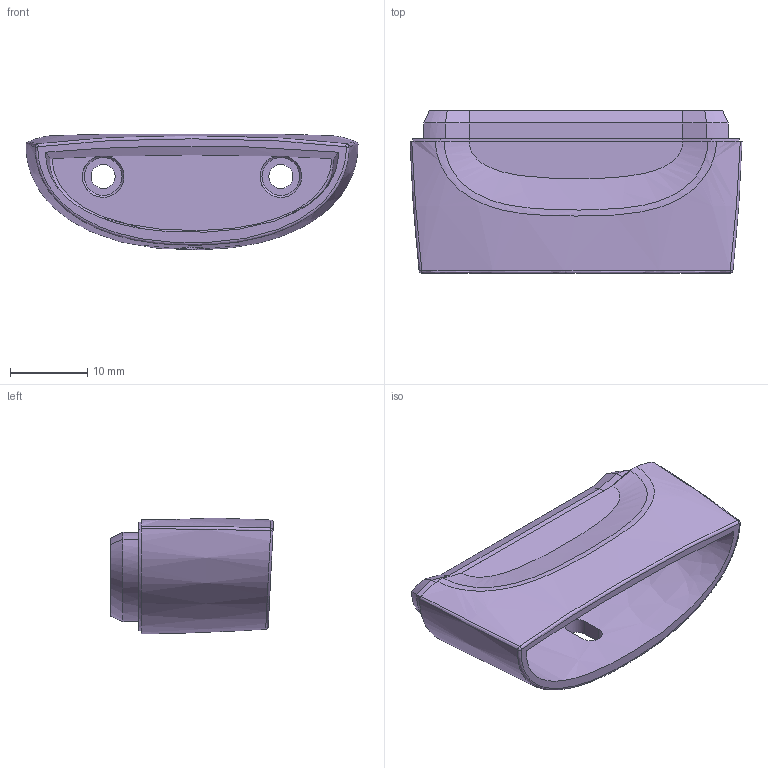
import cadquery as cq
import math


half_width = 21.47
body_length = 17.41
body_height = 15.0
corner_z = -1.15
mid_half_width = 21.05
mid_bottom_z = -14.8
front_half_width = 20.2
front_overrun = 0.5
front_corner_z = -1.35
front_crest_z = -0.3
front_bottom_z = -14.3
front_lean = 0.65
corner_round = 0.4
front_edge_round = 0.35

underside_power = 2.2
oval_spans = 12
crown_fractions = (-1, -0.92, -0.84, -0.6, -0.3, 0, 0.3, 0.6, 0.84, 0.92, 1)
back_crown_power = 10
mid_crown_power = 5
front_crown_power = 2.2

step_depth = 0.33
step_inset = 0.35
plug_length = 3.62
plug_side_inset = 1.8
plug_inset = 1.6
plug_taper_length = 1.6
plug_taper_inset = 0.7
sag_half_width = 17.8

dish_depth = 1.1
dish_floor_half_width = 13.8
dish_floor_reach = 5.2
dish_rim_half_width = 18.2
dish_rim_reach = 9.7
dish_power = 2.6
dish_clearance = 0.5
dish_rim_round = 3.0

cavity_back_y = -2.0
cavity_front_half_width = 18.95
cavity_front_corner_z = -2.3
cavity_front_crest_z = -1.5
cavity_front_bottom_z = -12.7
cavity_back_half_width = 18.4
cavity_back_corner_z = -3.2
cavity_back_crest_z = -2.7
cavity_back_bottom_z = -12.9
cavity_floor_round = 0.4

hole_spacing = 23.0
hole_z = -5.5
hole_diameter = 3.1
counterbore_diameter = 5.4
counterbore_depth = 1.5
counterbore_chamfer = 0.25
slot_width = 3.0
slot_length = 5.6
slot_center_y = -8.8

margin = 1.0


def half_oval(half_across, depth, power):
    """Points of a half superellipse from +half_across to -half_across, dipping to -depth between."""
    points = []
    for i in range(oval_spans + 1):
        angle = math.pi * i / oval_spans
        across = math.cos(angle)
        u = half_across * math.copysign(abs(across) ** (2 / power), across)
        v = -depth * abs(math.sin(angle)) ** (2 / power)
        points.append((u, v))
    return points


def section(y, half, side_z, crest_z, bottom_z, crown_power):
    """D-shaped cross-section at depth y: an arched crown over a half-oval underside."""
    rise = crest_z - side_z
    crown = [
        cq.Vector(f * half, y, side_z + rise * (1 - abs(f) ** crown_power)) for f in crown_fractions
    ]
    belly = half_oval(half, side_z - bottom_z, underside_power)
    underside = [cq.Vector(x, y, side_z + drop) for x, drop in belly]
    edges = [cq.Edge.makeSpline(crown), cq.Edge.makeSpline(underside)]
    return cq.Wire.assembleEdges(edges)


def back_section(y, side_inset, inset):
    """Cross-section of the body at its back end, shrunk at the sides and at the top and bottom."""
    return section(
        y, half_width - side_inset, corner_z - inset, -inset, inset - body_height, back_crown_power
    )


def straight_loft(wires):
    """Solid with straight sides between the given outlines."""
    return cq.Workplane(cq.Solid.makeLoft(wires, True))


def make_front_trim():
    """Block removing everything in front of the leaning front face."""
    slope = front_lean / (front_corner_z - front_bottom_z)
    low_z = -body_height - margin
    top_y = -body_length - slope * (margin - front_corner_z)
    low_y = -body_length + slope * (front_corner_z - low_z)
    far_y = -body_length - 4 * margin
    return (
        cq.Workplane("YZ")
        .polyline([(top_y, margin), (low_y, low_z), (far_y, low_z), (far_y, margin)])
        .close()
        .extrude(half_width + margin, both=True)
    )


def make_shell():
    """Solid outer body, narrowing from back to front, with its long and front edges rounded."""
    mid_y = -body_length / 2
    wires = [
        section(-step_depth, half_width, corner_z, 0, -body_height, back_crown_power),
        section(mid_y, mid_half_width, corner_z, 0, mid_bottom_z, mid_crown_power),
        section(
            -body_length - front_overrun, front_half_width, front_corner_z, front_crest_z,
            front_bottom_z, front_crown_power,
        ),
    ]
    shell = cq.Workplane(cq.Solid.makeLoft(wires)).cut(make_front_trim())
    corner_zone = cq.selectors.BoxSelector(
        (-half_width, mid_y - margin, front_corner_z - margin),
        (half_width, mid_y + margin, corner_z + margin / 2),
    )
    shell = shell.edges(corner_zone).fillet(corner_round)
    return shell.faces("<Y").edges().fillet(front_edge_round)


def dish_outline(z, half_across, reach):
    """Half oval dipping toward -Y, closed by a straight side behind the back shoulder."""
    points = [cq.Vector(x, y, z) for x, y in half_oval(half_across, reach, dish_power)]
    back_right = cq.Vector(half_across, margin, z)
    back_left = cq.Vector(-half_across, margin, z)
    return cq.Wire.assembleEdges([
        cq.Edge.makeSpline(points),
        cq.Edge.makeLine(points[-1], back_left),
        cq.Edge.makeLine(back_left, back_right),
        cq.Edge.makeLine(back_right, points[0]),
    ])


def make_dish():
    """Cutter for the dish, its taper carried on above the rim so that it clears the crown."""
    overrun = 1 + dish_clearance / dish_depth
    floor = dish_outline(-dish_depth, dish_floor_half_width, dish_floor_reach)
    top = dish_outline(
        dish_clearance,
        dish_floor_half_width + overrun * (dish_rim_half_width - dish_floor_half_width),
        dish_floor_reach + overrun * (dish_rim_reach - dish_floor_reach),
    )
    return straight_loft([floor, top])


def round_dish_rim(part):
    """Soften the edge where the dish meets the crown."""
    rim_zone = cq.selectors.BoxSelector(
        (-dish_floor_half_width, -dish_rim_reach - margin, -dish_depth / 2),
        (dish_floor_half_width, -dish_floor_reach - margin, margin),
    )
    return part.edges(rim_zone).fillet(dish_rim_round)


def make_step():
    """Thin step behind the body, set in all round, with the dish sunk by the same amount."""
    step = straight_loft([
        back_section(-step_depth - margin, step_inset, step_inset),
        back_section(0, step_inset, step_inset),
    ])
    return step.cut(make_dish().translate((0, 0, -step_inset)))


def sag_outline(y, inset):
    """Outline above the plug's sagging top."""
    return cq.Wire.makePolygon(
        [
            cq.Vector(-sag_half_width, y, -inset),
            cq.Vector(-dish_floor_half_width, y, -inset - dish_depth),
            cq.Vector(dish_floor_half_width, y, -inset - dish_depth),
            cq.Vector(sag_half_width, y, -inset),
            cq.Vector(sag_half_width, y, margin),
            cq.Vector(-sag_half_width, y, margin),
        ],
        close=True,
    )


def plug_piece(start_y, end_y, narrowing):
    """Length of plug whose section shrinks all round by narrowing from start to end."""
    end_inset = plug_inset + narrowing
    blank = straight_loft([
        back_section(start_y, plug_side_inset, plug_inset),
        back_section(end_y, plug_side_inset + narrowing, end_inset),
    ])
    sag = straight_loft([sag_outline(start_y, plug_inset), sag_outline(end_y, end_inset)])
    return blank.cut(sag)


def make_plug():
    """Plug behind the shoulder, tapering over its last stretch; its top sags in line with the dish."""
    taper_y = plug_length - plug_taper_length
    straight = plug_piece(-margin, taper_y, 0)
    return straight.union(plug_piece(taper_y, plug_length, plug_taper_inset))


def make_cavity():
    """Tapered cavity open at the front face."""
    wires = [
        section(
            -body_length - margin, cavity_front_half_width, cavity_front_corner_z,
            cavity_front_crest_z, cavity_front_bottom_z, front_crown_power,
        ),
        section(
            cavity_back_y, cavity_back_half_width, cavity_back_corner_z,
            cavity_back_crest_z, cavity_back_bottom_z, front_crown_power,
        ),
    ]
    return straight_loft(wires).faces(">Y").edges("<Z").fillet(cavity_floor_round)


def cut_screw_holes(part):
    """Two through holes along Y, counterbored from the cavity floor."""
    for x in (-hole_spacing / 2, hole_spacing / 2):
        start = cq.Workplane("XZ", origin=(x, cavity_back_y - margin, hole_z))
        bore = start.circle(hole_diameter / 2).extrude(-plug_length - 4 * margin)
        head = start.circle(counterbore_diameter / 2).extrude(-counterbore_depth - margin)
        head = head.faces(">Y").chamfer(counterbore_chamfer)
        part = part.cut(bore).cut(head)
    return part


def cut_slot(part):
    """Slot along Y through the bottom wall, cut from below into the cavity."""
    slot = (
        cq.Workplane("XY", origin=(0, slot_center_y, -body_height - margin))
        .slot2D(slot_length, slot_width, 90)
        .extrude(body_height / 2)
    )
    return part.cut(slot)


dished_shell = round_dish_rim(make_shell().cut(make_dish()))
body = dished_shell.union(make_step()).union(make_plug()).cut(make_cavity())
result = cut_slot(cut_screw_holes(body))